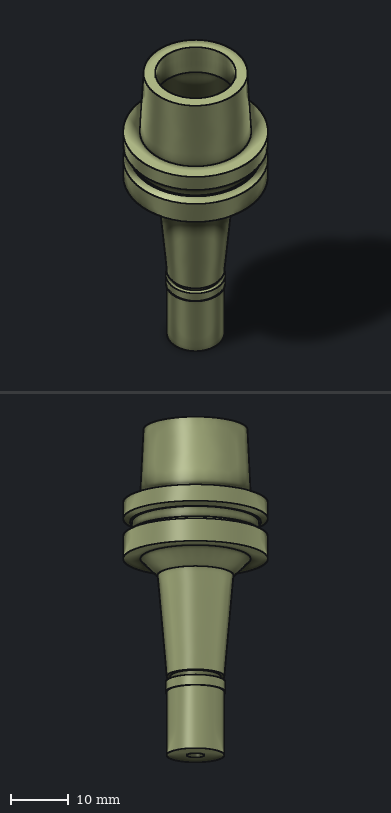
import cadquery as cq

total_height = 58.0
flange_top = 45.0
upper_lip_z = 42.1
groove_top = 41.5
groove_bottom = 39.7
lower_lip_z = 39.0
flange_bottom = 35.0
cone_bottom = 32.0
holder_bottom = 14.05
collar_top = 13.05
collar_bottom = 11.25
socket_lip_depth = 5.55

shank_top_radius = 9.0
shank_base_radius = 9.6
flange_radius = 25.0 / 2
groove_lip_radius = 11.3
groove_radius = 10.95
cone_top_radius = 9.5
neck_top_radius = 6.55
neck_bottom_radius = 5.0
socket_radius = 6.95
undercut_radius = 7.7
bore_radius = 7.95 / 2

nut_radius = 5.0
nut_collar_radius = 5.15
nut_neck_radius = 4.35
nut_hole_radius = 1.5


def revolve_profile(points):
    """Revolve a closed (radius, height) outline about the Z axis."""
    return cq.Workplane("XZ").polyline(points).close().revolve(360, (0, 0, 0), (0, 1, 0))


def make_holder():
    """Tapered shank, grooved flange and slender neck, with an undercut socket above a through bore."""
    lip_z = total_height - socket_lip_depth
    socket_floor = flange_top
    outside = [
        (shank_top_radius, total_height),
        (shank_base_radius, flange_top),
        (flange_radius, flange_top),
        (flange_radius, upper_lip_z),
        (groove_lip_radius, groove_top),
        (groove_radius, groove_top),
        (groove_radius, groove_bottom),
        (groove_lip_radius, groove_bottom),
        (flange_radius, lower_lip_z),
        (flange_radius, flange_bottom),
        (cone_top_radius, flange_bottom),
        (neck_top_radius, cone_bottom),
        (neck_bottom_radius, holder_bottom),
    ]
    inside = [
        (bore_radius, holder_bottom),
        (bore_radius, socket_floor),
        (undercut_radius, socket_floor),
        (undercut_radius, lip_z),
        (socket_radius, lip_z),
        (socket_radius, total_height),
    ]
    return revolve_profile(outside + inside)


def make_nut():
    """Collared nut whose narrow neck seats against the bottom of the holder."""
    return revolve_profile([
        (nut_hole_radius, 0),
        (nut_radius, 0),
        (nut_radius, collar_bottom),
        (nut_collar_radius, collar_bottom),
        (nut_collar_radius, collar_top),
        (nut_neck_radius, collar_top),
        (nut_neck_radius, holder_bottom),
        (nut_hole_radius, holder_bottom),
    ])


holder = make_holder()
nut = make_nut()

result = cq.Compound.makeCompound([holder.val(), nut.val()])